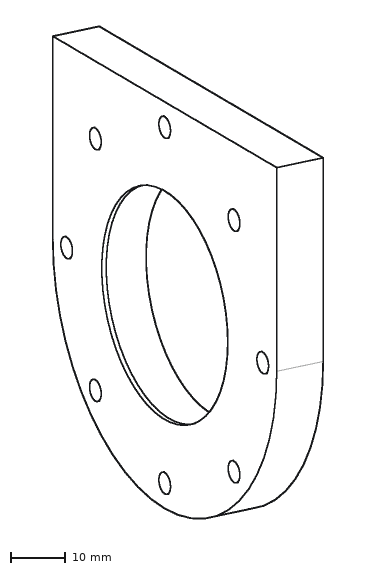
import cadquery as cq

width = 80.0
thickness = 10.0
lip_diameter = 45.0
lip_thickness = 1.0
recess_diameter = 46.5
bolt_circle_diameter = 70.0
bolt_hole_diameter = 4.2
bolt_hole_count = 8

outer_radius = width / 2


def make_plate():
    """Plate with a square top and a semicircular bottom, centred on the bore."""
    return (
        cq.Workplane("XZ")
        .moveTo(-outer_radius, 0)
        .lineTo(-outer_radius, outer_radius)
        .lineTo(outer_radius, outer_radius)
        .lineTo(outer_radius, 0)
        .threePointArc((0, -outer_radius), (-outer_radius, 0))
        .close()
        .extrude(thickness)
    )


def make_bore():
    """Through bore, widened behind a thin retaining lip at the front (-Y) face."""
    lip_opening = cq.Workplane("XZ").circle(lip_diameter / 2).extrude(thickness)
    recess = cq.Workplane("XZ").circle(recess_diameter / 2).extrude(thickness - lip_thickness)
    return lip_opening.union(recess)


def make_bolt_holes():
    """Through holes evenly spaced on the bolt circle."""
    return (
        cq.Workplane("XZ")
        .polarArray(bolt_circle_diameter / 2, 0, 360, bolt_hole_count)
        .circle(bolt_hole_diameter / 2)
        .extrude(thickness)
    )


result = make_plate().cut(make_bore()).cut(make_bolt_holes())